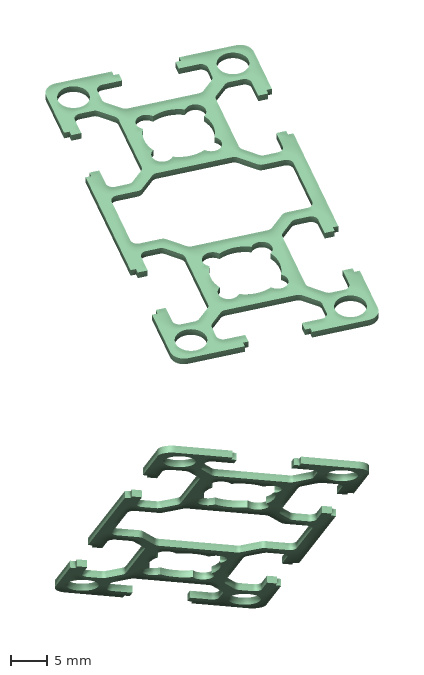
import cadquery as cq

cell = 30.0
length = 2 * cell
thickness = 1.0
outer_corner_radius = 2.0

mouth_half_width = 4.1
step_half_width = 4.85
step_depth = 0.8
lip_thickness = 2.2
chamber_half_width = 8.0
core_half_width = 7.0
slot_web_offset = 1.45
slot_fillet = 1.0

cavity_half_width = 5.2
cavity_wall = 1.85
cavity_web_offset = 1.15
cavity_fillet = 1.0

corner_hole_diameter = 4.5
corner_hole_inset = 3.5
bore_radius = 5.0
lobe_radius = 1.5
lobe_offset = 3.55

cell_half = cell / 2
cell_center_xs = (-cell_half, cell_half)


def body():
    """Plain slab with rounded outer corners."""
    slab = cq.Workplane("XY").rect(length, cell).extrude(thickness)
    return slab.edges("|Z").fillet(outer_corner_radius)


def rectangle(half_width, y_start, y_end):
    """Full-thickness block centred on X between two Y positions."""
    block = cq.Workplane("XY").center(0, (y_start + y_end) / 2)
    return block.rect(2 * half_width, y_end - y_start).extrude(thickness)


def slot_cutter():
    """T-slot opening toward +Y of a cell centred on the origin."""
    chamber_top = cell_half - lip_thickness
    right_side = [
        (core_half_width - slot_web_offset, core_half_width),
        (chamber_half_width, chamber_half_width + slot_web_offset),
        (chamber_half_width, chamber_top),
    ]
    left_side = [(-x, y) for x, y in reversed(right_side)]
    chamber = cq.Workplane("XY").polyline(right_side + left_side).close().extrude(thickness)
    chamber = chamber.edges("|Z").fillet(slot_fillet)
    mouth = rectangle(mouth_half_width, core_half_width, cell_half)
    step = rectangle(step_half_width, cell_half - step_depth, cell_half)
    return chamber.union(mouth).union(step)


def cavity_cutter():
    """Tall cavity in the middle, widened between the two cells."""
    core_gap = cell_half - core_half_width
    wall_distance = cell_half - cavity_half_width
    upper_right = [
        (core_gap, core_half_width - cavity_web_offset),
        (cavity_half_width, wall_distance - cavity_web_offset),
        (cavity_half_width, cell_half - cavity_wall),
    ]
    upper_left = [(-x, y) for x, y in reversed(upper_right)]
    upper = upper_right + upper_left
    lower = [(-x, -y) for x, y in upper]
    cavity = cq.Workplane("XY").polyline(upper + lower).close().extrude(thickness)
    return cavity.edges("|Z").fillet(cavity_fillet)


def bore_cutter():
    """Round bore with a smaller round lobe in each corner."""
    bore = cq.Workplane("XY").circle(bore_radius).extrude(thickness)
    lobes = cq.Workplane("XY").rect(2 * lobe_offset, 2 * lobe_offset, forConstruction=True)
    return bore.union(lobes.vertices().circle(lobe_radius).extrude(thickness))


def corner_hole_cutter():
    """Four round holes, one near each outer corner."""
    spacing_x = length - 2 * corner_hole_inset
    spacing_y = cell - 2 * corner_hole_inset
    holes = cq.Workplane("XY").rect(spacing_x, spacing_y, forConstruction=True)
    return holes.vertices().circle(corner_hole_diameter / 2).extrude(thickness)


result = body().cut(cavity_cutter()).cut(corner_hole_cutter())

for center_x in cell_center_xs:
    end_slot_angle = 90 if center_x < 0 else -90
    for angle in (0, 180, end_slot_angle):
        slot = slot_cutter().rotate((0, 0, 0), (0, 0, 1), angle)
        result = result.cut(slot.translate((center_x, 0, 0)))
    result = result.cut(bore_cutter().translate((center_x, 0, 0)))